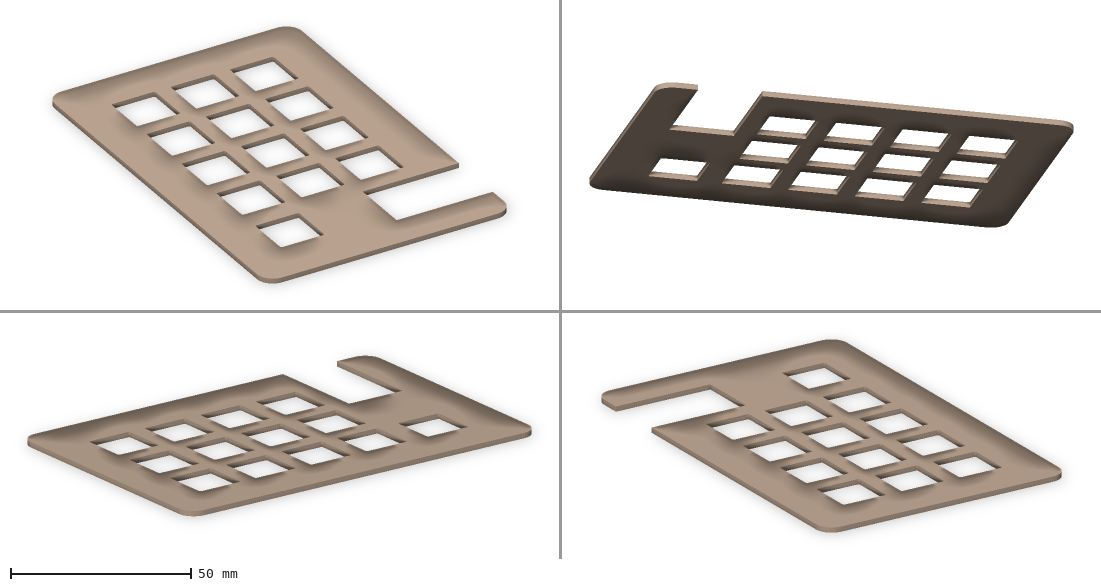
import cadquery as cq

length = 120.0
width = 79.5
thickness = 1.5
corner_radius = 5.0

window_size = 14.0
window_radius = 0.5
key_pitch = 19.1
key_columns = 4
key_rows = 3
first_key_x = 20.3
first_key_y = 20.3

lone_key_gap = 21.0

notch_left = 90.3
notch_width = 18.5
notch_depth = 31.0


def make_plate():
    """Flat plate with rounded vertical corners."""
    return (
        cq.Workplane("XY")
        .box(length, width, thickness, centered=False)
        .edges("|Z")
        .fillet(corner_radius)
    )


def key_centers():
    """Centers of the grid keys, followed by the lone key."""
    centers = [
        (first_key_x + column * key_pitch, first_key_y + row * key_pitch)
        for row in range(key_rows)
        for column in range(key_columns)
    ]
    last_column_x = first_key_x + (key_columns - 1) * key_pitch
    centers.append((last_column_x + lone_key_gap, first_key_y))
    return centers


def make_windows():
    """Through cutters for all key windows, with slightly rounded corners."""
    return (
        cq.Workplane("XY")
        .pushPoints(key_centers())
        .rect(window_size, window_size)
        .extrude(thickness)
        .edges("|Z")
        .fillet(window_radius)
    )


def make_notch():
    """Through cutter for the notch, reaching the back edge."""
    return (
        cq.Workplane("XY")
        .box(notch_width, notch_depth, thickness, centered=False)
        .translate((notch_left, width - notch_depth, 0))
    )


result = make_plate().cut(make_windows()).cut(make_notch())